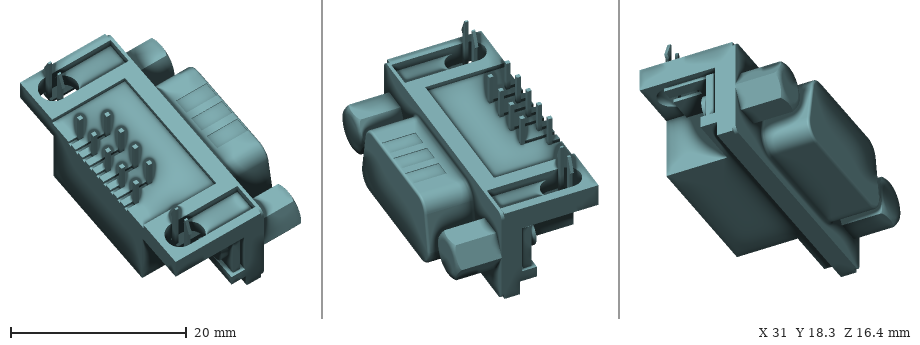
import cadquery as cq
import math


flange_width = 30.75
flange_height = 12.52
flange_depth = 1.95
housing_depth = 11.87
top_z = flange_height / 2
block_width = 17.55
block_bottom_z = -4.4
wing_bottom_z = 3.38
opening_wall_y = -2.2
opening_bottom_z = -2.98
ledge_depth = 4.1

recess_width = 18.05
recess_front_y = -1.75
recess_depth = 0.62
recess_floor_z = top_z - recess_depth
lead_size = 0.53
lead_pitch = 2.75
lead_top_z = 9.45
lead_groove_depth = 0.4
lead_groove_floor_z = recess_floor_z - lead_groove_depth
front_row_y = -7.62
back_row_y = -10.45
front_row_count = 4
back_row_count = 5

mount_pitch = 25.0
mount_x = mount_pitch / 2
lock_slot_width = 3.55
lock_slot_front_y = -6.05
lock_slot_back_y = -11.0
lock_groove_depth = 1.12

sheet = 0.4
bracket_side_x = 14.4
bracket_back_y = -9.27
bracket_slot_width = 0.87
bracket_slot_front_y = -5.58
thread_plate_side_x = 14.97
thread_plate_thickness = 1.0
screw_diameter = 3.32
screw_end_y = -4.62

leg_inner = 0.8
leg_outer = 1.52
barb_outer = 1.83
leg_tip_outer = 1.05
barb_base_z = 7.9
barb_point_z = 8.25
leg_tip_z = 10.1

plate_corner_radius = 0.85
shell_length = 6.05
shell_height = 9.08
shell_mid_width = 16.83
shell_side_angle = 10
shell_corner_radius = 2.0
shell_tip_radius = 0.3
shell_root_radius = 0.28
dimple_width = 2.05
dimple_pitch = 3.05
dimple_depth = 0.1
dimple_tip_gap = 0.3
dimple_length = 4.25

nut_corner_diameter = 5.98
nut_length = 5.52
nut_crown_flat_radius = 2.0
nut_crown_radius = 1.27


def box(x_range, y_range, z_range):
    """Box between two limits on each axis."""
    sizes = [limits[1] - limits[0] for limits in (x_range, y_range, z_range)]
    corner = (x_range[0], y_range[0], z_range[0])
    return cq.Workplane("XY").box(*sizes, centered=False).translate(corner)


def centred_box(width, y_range, z_range, x=0):
    """Box of the given width, centred on x."""
    return box((x - width / 2, x + width / 2), y_range, z_range)


def lead_positions():
    """X and Y of every lead, in two staggered rows."""
    rows = ((front_row_count, front_row_y), (back_row_count, back_row_y))
    return [
        ((i - (count - 1) / 2) * lead_pitch, row_y)
        for count, row_y in rows
        for i in range(count)
    ]


def make_housing():
    """Flange, contact block, top wings and the low ledges beside the block."""
    flange = centred_box(flange_width, (-flange_depth, 0), (-top_z, top_z))
    block = centred_box(block_width, (-housing_depth, 0), (block_bottom_z, top_z))
    wings = centred_box(flange_width, (-housing_depth, 0), (wing_bottom_z, top_z))
    wall = centred_box(flange_width, (opening_wall_y, 0), (block_bottom_z, top_z))
    ledge = centred_box(flange_width, (-ledge_depth, 0), (block_bottom_z, opening_bottom_z))
    housing = flange.union(block).union(wings).union(wall).union(ledge)
    recess = centred_box(recess_width, (-housing_depth, recess_front_y), (recess_floor_z, top_z))
    return housing.cut(recess)


def cut_lock_slot(housing):
    """Through slot for the board lock, with a shallow groove to the flange face."""
    slot_length = lock_slot_front_y - lock_slot_back_y
    slot_y = (lock_slot_front_y + lock_slot_back_y) / 2
    slot = (
        cq.Workplane("XY", origin=(mount_x, slot_y, wing_bottom_z))
        .slot2D(slot_length, lock_slot_width, 90)
        .extrude(top_z - wing_bottom_z)
    )
    groove = centred_box(
        lock_slot_width, (slot_y, 0), (top_z - lock_groove_depth, top_z), mount_x
    )
    return housing.cut(slot).cut(groove)


def add_leads(housing):
    """Square leads standing at the front ends of grooves in the recess floor."""
    half = lead_size / 2
    for x, y in lead_positions():
        groove_z = (lead_groove_floor_z, recess_floor_z)
        housing = housing.cut(centred_box(lead_size, (-housing_depth, y + half), groove_z, x))
        lead_z = (lead_groove_floor_z, lead_top_z)
        housing = housing.union(centred_box(lead_size, (y - half, y + half), lead_z, x))
    return housing


def make_lock_leg():
    """Barbed leg of the board lock on the +X side of the lock axis."""
    outline = [
        (leg_inner, wing_bottom_z - sheet),
        (leg_outer, wing_bottom_z - sheet),
        (leg_outer, barb_base_z),
        (barb_outer, barb_point_z),
        (leg_tip_outer, leg_tip_z),
        (leg_inner, leg_tip_z),
    ]
    leg_front_y = bracket_back_y + sheet
    return cq.Workplane("XZ", origin=(0, leg_front_y, 0)).polyline(outline).close().extrude(sheet)


def make_bracket():
    """Angled sheet bracket with its board lock, threaded plate and screw end."""
    inner_x = block_width / 2
    plate_front_y = opening_wall_y - sheet
    limb_x = (inner_x, bracket_side_x)
    under_wing_z = (wing_bottom_z - sheet, wing_bottom_z)
    top_limb = box(limb_x, (bracket_back_y, opening_wall_y), under_wing_z)
    slot = centred_box(
        bracket_slot_width, (bracket_back_y, bracket_slot_front_y), under_wing_z, mount_x
    )
    upright_limb = box(limb_x, (plate_front_y, opening_wall_y), (opening_bottom_z, wing_bottom_z))
    thread_plate = box(
        (inner_x, thread_plate_side_x),
        (plate_front_y - thread_plate_thickness, plate_front_y),
        (opening_bottom_z, wing_bottom_z - sheet),
    )
    screw = (
        cq.Workplane("XZ", origin=(mount_x, plate_front_y, 0))
        .circle(screw_diameter / 2)
        .extrude(plate_front_y - screw_end_y)
    )
    bracket = top_limb.cut(slot).union(upright_limb).union(thread_plate).union(screw)
    leg = make_lock_leg()
    for side_leg in (leg, leg.mirror("YZ")):
        bracket = bracket.union(side_leg.translate((mount_x, 0, 0)))
    return bracket


def make_shell():
    """Metal flange plate carrying the solid D-shaped shell."""
    plate = (
        cq.Workplane("XZ")
        .rect(flange_width, flange_height)
        .extrude(-sheet)
        .edges("|Y")
        .fillet(plate_corner_radius)
    )
    half_height = shell_height / 2
    side_shift = half_height * math.tan(math.radians(shell_side_angle))
    top_half = shell_mid_width / 2 - side_shift
    bottom_half = shell_mid_width / 2 + side_shift
    outline = [
        (-top_half, half_height),
        (top_half, half_height),
        (bottom_half, -half_height),
        (-bottom_half, -half_height),
    ]
    tip_y = sheet + shell_length
    shell = (
        cq.Workplane("XZ")
        .polyline(outline)
        .close()
        .extrude(-tip_y)
        .edges("|Y")
        .fillet(shell_corner_radius)
        .faces(">Y")
        .edges()
        .fillet(shell_tip_radius)
    )
    root_edges = cq.selectors.BoxSelector(
        (-bottom_half, sheet / 2, -half_height - sheet),
        (bottom_half, sheet * 1.5, half_height + sheet),
    )
    shell = plate.union(shell).edges(root_edges).fillet(shell_root_radius)
    dimple_tip_y = tip_y - dimple_tip_gap
    for i in (-1, 0, 1):
        dimple = centred_box(
            dimple_width,
            (dimple_tip_y - dimple_length, dimple_tip_y),
            (half_height - dimple_depth, half_height),
            i * dimple_pitch,
        )
        shell = shell.cut(dimple)
    return shell


def make_nut():
    """Hexagonal nut with a rounded crown and corners pointing along X."""
    hexagon = (
        cq.Workplane("XZ", origin=(mount_x, sheet, 0))
        .polygon(6, nut_corner_diameter)
        .extrude(-nut_length)
    )
    crown_outer = nut_crown_flat_radius + nut_crown_radius
    crown_arc_offset = nut_crown_radius * math.sqrt(0.5)
    crown_arc_mid = (
        nut_crown_flat_radius + crown_arc_offset,
        nut_length - nut_crown_radius + crown_arc_offset,
    )
    crown = (
        cq.Workplane("XY")
        .lineTo(crown_outer, 0)
        .lineTo(crown_outer, nut_length - nut_crown_radius)
        .threePointArc(crown_arc_mid, (nut_crown_flat_radius, nut_length))
        .lineTo(0, nut_length)
        .close()
        .revolve(360, (0, 0, 0), (0, 1, 0))
        .translate((mount_x, sheet, 0))
    )
    return hexagon.intersect(crown)


def add_both_ends(body, feature):
    """Join a +X end feature and its mirror image to the body."""
    return body.union(feature).union(feature.mirror("YZ"))


housing = make_housing()
housing = cut_lock_slot(housing)
housing = cut_lock_slot(housing.mirror("YZ"))
housing = add_leads(housing)

result = housing.union(make_shell())
result = add_both_ends(result, make_bracket())
result = add_both_ends(result, make_nut())